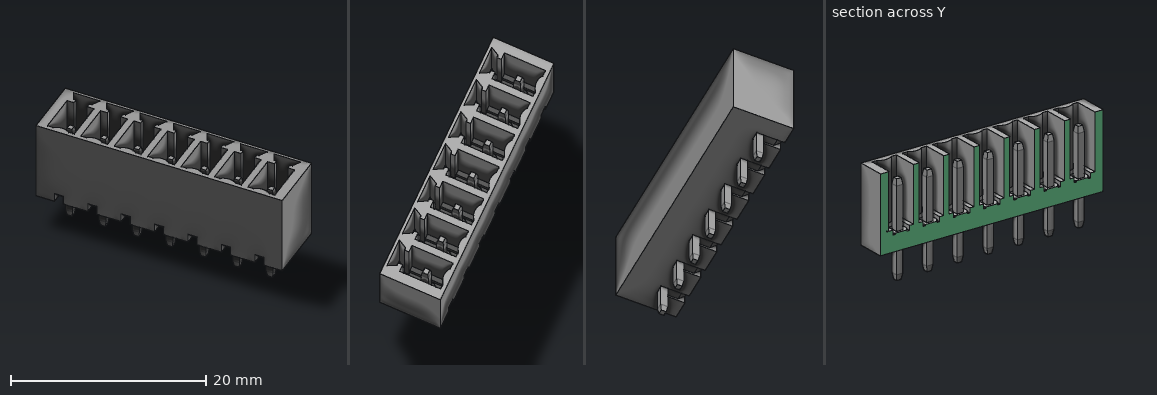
import cadquery as cq


length = 28.07
depth = 6.85
housing_height = 9.2
front_y = -depth / 2
back_y = depth / 2

pin_count = 7
end_margin = 2.6
pitch = (length - 2 * end_margin) / (pin_count - 1)
position_xs = [-length / 2 + end_margin + i * pitch for i in range(pin_count)]

pocket_width = 3.05
pocket_front_y = front_y + 0.48
pocket_back_y = back_y - 1.77
ledge_z = 2.53
channel_width = 2.02
floor_z = 1.96

rib_chord = 1.8
rib_rise = 0.3

neck_width = 1.52
dovetail_front_y = back_y - 1.25
dovetail_back_y = back_y - 0.35
dovetail_front_width = 2.08
dovetail_back_width = 3.05
dovetail_floor_z = 2.25

step_depth = 0.08
step_height = 0.28

pin_y = front_y + 2.78
pin_size = 0.8
pin_end_size = 0.55
pin_top_z = 7.92
pin_bottom_z = -3.48
pin_taper_length = 0.73
collar_diameter = 2.0
collar_height = 0.15

notch_width = 1.0
notch_front_height = 1.05
notch_flat_height = 0.25
notch_slope_run = notch_front_height - notch_flat_height
notch_end_y = pin_y + pin_size / 2


def box(x_size, y_min, y_max, z_min, z_max):
    """Box centred on X = 0 between the given Y and Z limits."""
    return cq.Workplane("XY").box(x_size, y_max - y_min, z_max - z_min, centered=False).translate(
        (-x_size / 2, y_min, z_min)
    )


def make_socket():
    """Space removed from the top of the housing at one position."""
    wide = box(pocket_width, pocket_front_y, pocket_back_y, ledge_z, housing_height)
    channel = box(channel_width, pocket_front_y, pocket_back_y, floor_z, housing_height)
    neck = box(neck_width, pocket_back_y, dovetail_front_y, floor_z, housing_height)
    dovetail = (
        cq.Workplane("XY", origin=(0, 0, dovetail_floor_z))
        .moveTo(-dovetail_front_width / 2, dovetail_front_y)
        .lineTo(dovetail_front_width / 2, dovetail_front_y)
        .lineTo(dovetail_back_width / 2, dovetail_back_y)
        .lineTo(-dovetail_back_width / 2, dovetail_back_y)
        .close()
        .extrude(housing_height - dovetail_floor_z)
    )
    step = box(
        dovetail_back_width,
        dovetail_back_y - step_depth,
        dovetail_back_y,
        dovetail_floor_z,
        dovetail_floor_z + step_height,
    )
    rib = (
        cq.Workplane("XY", origin=(0, 0, floor_z))
        .moveTo(-rib_chord / 2, pocket_front_y)
        .threePointArc((0, pocket_front_y + rib_rise), (rib_chord / 2, pocket_front_y))
        .close()
        .extrude(housing_height - floor_z)
    )
    return wide.union(channel).union(neck).union(dovetail).cut(rib).cut(step)


def make_notch():
    """Notch removed from the bottom front edge at one position."""
    return (
        cq.Workplane("YZ", origin=(-notch_width / 2, 0, 0))
        .moveTo(front_y, 0)
        .lineTo(front_y, notch_front_height)
        .lineTo(front_y + notch_slope_run, notch_flat_height)
        .lineTo(notch_end_y, notch_flat_height)
        .lineTo(notch_end_y, 0)
        .close()
        .extrude(notch_width)
    )


def make_pin_end(base_z, tip_z):
    """Square taper from the full pin section at base_z to the small end at tip_z."""
    return (
        cq.Workplane("XY", origin=(0, pin_y, base_z))
        .rect(pin_size, pin_size)
        .workplane(offset=tip_z - base_z)
        .rect(pin_end_size, pin_end_size)
        .loft(ruled=True)
    )


def make_pin():
    """Square pin tapered at both ends, with a round collar on the socket floor."""
    shank_bottom_z = pin_bottom_z + pin_taper_length
    shank_top_z = pin_top_z - pin_taper_length
    shank = box(pin_size, pin_y - pin_size / 2, pin_y + pin_size / 2, shank_bottom_z, shank_top_z)
    collar = (
        cq.Workplane("XY", origin=(0, pin_y, floor_z))
        .circle(collar_diameter / 2)
        .extrude(collar_height)
    )
    return (
        shank.union(make_pin_end(shank_bottom_z, pin_bottom_z))
        .union(make_pin_end(shank_top_z, pin_top_z))
        .union(collar)
    )


socket = make_socket()
notch = make_notch()
pin = make_pin()

result = box(length, front_y, back_y, 0, housing_height)
for x in position_xs:
    result = result.cut(socket.translate((x, 0, 0))).cut(notch.translate((x, 0, 0)))
    result = result.union(pin.translate((x, 0, 0)))